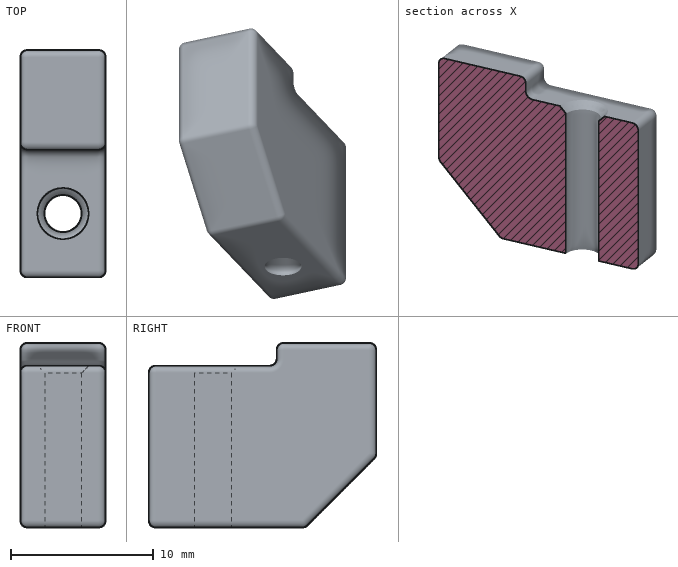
import cadquery as cq

width = 6.0
length = 16.0
height = 13.0

raised_length = 7.0
step_drop = 1.6
corner_cut = 5.0
edge_radius = 0.5

hole_diameter = 2.6
countersink_diameter = 3.6
countersink_angle = 90
hole_from_front = 4.5

step_y = length - raised_length
step_z = height - step_drop


def rounded_body():
    """Side profile extruded across the width, with every edge rounded."""
    profile = [
        (0, 0),
        (length - corner_cut, 0),
        (length, corner_cut),
        (length, height),
        (step_y, height),
        (step_y, step_z),
        (0, step_z),
    ]
    body = cq.Workplane("YZ").polyline(profile).close().extrude(width / 2, both=True)
    return body.edges().fillet(edge_radius)


def drill_hole(body):
    """Vertical countersunk hole, centred across the width."""
    step_face = cq.Plane(origin=(0, hole_from_front, step_z))
    return body.copyWorkplane(cq.Workplane(step_face)).cskHole(
        hole_diameter, countersink_diameter, countersink_angle
    )


result = drill_hole(rounded_body())